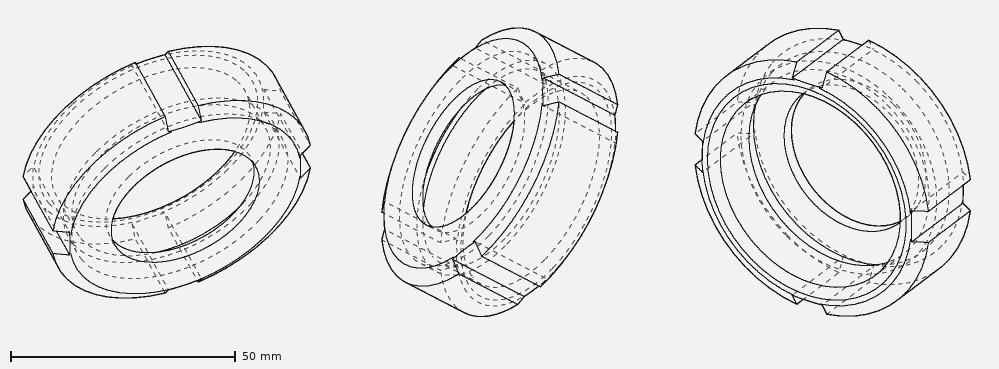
import cadquery as cq
import math

length = 21.0
span_between_slot_corners = 62.5
slot_width = 8.0
slot_floor_distance = 28.0
end_face_radius = 28.0
edge_angle = math.radians(30)

hole_radius = 36.0 / 2
bore_radius = 48.2 / 2
relief_radius = 52.4 / 2
mouth_radius = 53.2 / 2
floor_thickness = 3.0
relief_width = 5.0

outer_radius = math.hypot(span_between_slot_corners / 2, slot_width / 2)
outer_chamfer_length = (outer_radius - end_face_radius) * math.tan(edge_angle)
mouth_chamfer_length = (mouth_radius - bore_radius) * math.tan(edge_angle)
recess_depth = length - floor_thickness
relief_start = recess_depth - relief_width
slot_count = 4


def make_ring():
    """Revolve the half section, given as (axial position, radius), about X."""
    section = [
        (0, mouth_radius),
        (0, end_face_radius),
        (outer_chamfer_length, outer_radius),
        (length - outer_chamfer_length, outer_radius),
        (length, end_face_radius),
        (length, hole_radius),
        (recess_depth, hole_radius),
        (recess_depth, relief_radius),
        (relief_start, relief_radius),
        (relief_start, bore_radius),
        (mouth_chamfer_length, bore_radius),
    ]
    return cq.Workplane("XY").polyline(section).close().revolve(360, (0, 0, 0), (1, 0, 0))


def make_slot_cutter(angle):
    """Block that cuts one spanner slot along the full length, turned about X."""
    cutter_height = outer_radius
    block = cq.Workplane("XY").box(length, slot_width, cutter_height, centered=(False, True, False))
    return block.translate((0, 0, slot_floor_distance)).rotate((0, 0, 0), (1, 0, 0), angle)


result = make_ring()
for slot_index in range(slot_count):
    result = result.cut(make_slot_cutter(slot_index * 360 / slot_count))